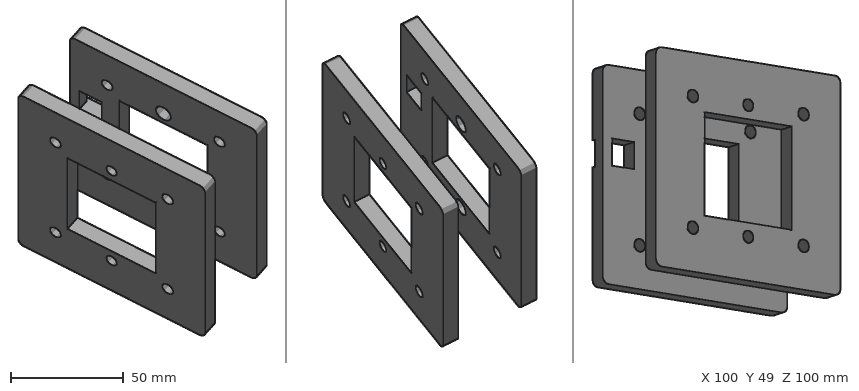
import cadquery as cq

plate_side = 100.0
plate_thickness = 8.0
corner_radius = 3.2
overall_depth = 49.0
front_plate_y = -overall_depth / 2
back_plate_y = overall_depth / 2 - plate_thickness

window_side = 47.2
hole_offset = 30.0
corner_hole_diameter = 5.8
front_middle_hole_diameter = 5.5
back_middle_hole_diameter = 8.0

port_width = 12.0
port_height = 12.4
port_left_x = -45.0
port_bottom_z = 4.3
channel_depth = 1.8


def box_from(x, y, z, width, depth, height):
    """Box with its lowest corner at (x, y, z)."""
    return cq.Workplane("XY").box(width, depth, height, centered=False).translate((x, y, z))


def make_plate(front_y, middle_hole_diameter):
    """Rounded plate with a central window and two rows of three through holes."""
    plate = box_from(-plate_side / 2, front_y, -plate_side / 2, plate_side, plate_thickness, plate_side)
    plate = plate.edges("|Y").fillet(corner_radius)
    window = box_from(-window_side / 2, front_y, -window_side / 2, window_side, plate_thickness, window_side)
    plate = plate.cut(window)

    for x in (-hole_offset, 0, hole_offset):
        diameter = middle_hole_diameter if x == 0 else corner_hole_diameter
        for z in (-hole_offset, hole_offset):
            hole = cq.Solid.makeCylinder(
                diameter / 2, plate_thickness, cq.Vector(x, front_y, z), cq.Vector(0, 1, 0)
            )
            plate = plate.cut(cq.Workplane(hole))
    return plate


def make_port():
    """Cutter for the through port and the channel in the rear face."""
    port = box_from(port_left_x, back_plate_y, port_bottom_z, port_width, plate_thickness, port_height)
    channel_y = back_plate_y + plate_thickness - channel_depth
    channel_length = port_left_x + port_width + plate_side / 2
    channel = box_from(-plate_side / 2, channel_y, port_bottom_z, channel_length, channel_depth, port_height)
    return port.union(channel)


front_plate = make_plate(front_plate_y, front_middle_hole_diameter)
back_plate = make_plate(back_plate_y, back_middle_hole_diameter).cut(make_port())

result = cq.Compound.makeCompound([front_plate.val(), back_plate.val()])